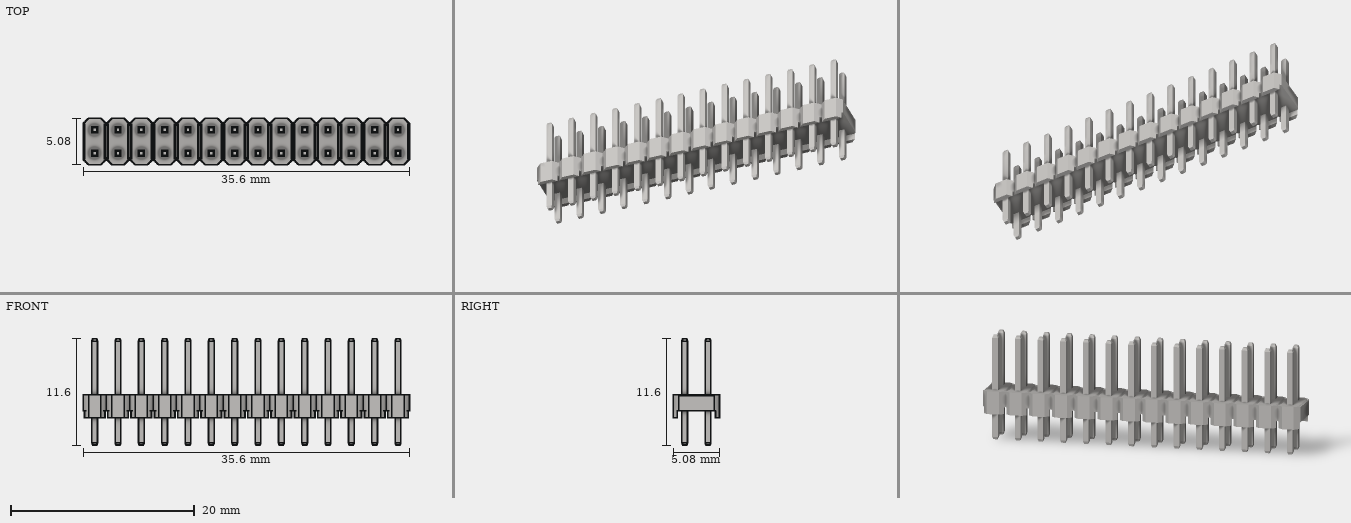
import cadquery as cq

columns = 14
overall_length = 35.55
pitch = overall_length / columns

housing_width = 2 * pitch
housing_height = 2.52
corner_cut = 0.6

recess_depth = 0.1
recess_floor_width = 0.2
recess_floor_length = 3.55

foot_thickness = 0.45
standoff_height = 0.75

pin_side = 0.65
pin_above_housing = 6.08
pin_below_housing = 3.0
tip_height = 0.3
tip_inset = 0.1

column_positions = [(i - (columns - 1) / 2) * pitch for i in range(columns)]
row_positions = [-pitch / 2, pitch / 2]


def make_joint_recess():
    """Cutter for the recess in the top face, widening upward from a flat floor."""
    opening_width = recess_floor_width + 2 * recess_depth
    opening_length = recess_floor_length + 2 * recess_depth
    return (
        cq.Workplane("XY", origin=(0, 0, housing_height))
        .rect(opening_width, opening_length)
        .workplane(offset=-recess_depth)
        .rect(recess_floor_width, recess_floor_length)
        .loft()
    )


def make_underside_channel():
    """Cutter for the channel along a cell that leaves a foot on each side."""
    channel_width = housing_width - 2 * foot_thickness
    return cq.Workplane("XY").box(
        pitch, channel_width, standoff_height, centered=(True, True, False)
    )


def make_housing_cell():
    """One octagonal cell of the housing with half a recess at each end."""
    cell = (
        cq.Workplane("XY")
        .rect(pitch, housing_width)
        .extrude(housing_height)
        .edges("|Z")
        .chamfer(corner_cut)
        .cut(make_underside_channel())
    )
    recess = make_joint_recess()
    for end_x in (-pitch / 2, pitch / 2):
        cell = cell.cut(recess.translate((end_x, 0, 0)))
    return cell


def make_tip(base_z, direction):
    """Tapered pin end that starts at base_z and points up (1) or down (-1)."""
    tip_side = pin_side - 2 * tip_inset
    return (
        cq.Workplane("XY", origin=(0, 0, base_z))
        .rect(pin_side, pin_side)
        .workplane(offset=direction * tip_height)
        .rect(tip_side, tip_side)
        .loft()
    )


def make_pin():
    """Square pin, tapered at both ends."""
    shank_bottom = -pin_below_housing + tip_height
    shank_top = housing_height + pin_above_housing - tip_height
    shank = (
        cq.Workplane("XY", origin=(0, 0, shank_bottom))
        .rect(pin_side, pin_side)
        .extrude(shank_top - shank_bottom)
    )
    return shank.union(make_tip(shank_top, 1)).union(make_tip(shank_bottom, -1))


column = make_housing_cell()
pin = make_pin()
for row_y in row_positions:
    column = column.union(pin.translate((0, row_y, 0)))

result = column.translate((column_positions[0], 0, 0))
for column_x in column_positions[1:]:
    result = result.union(column.translate((column_x, 0, 0)))
result = result.clean()